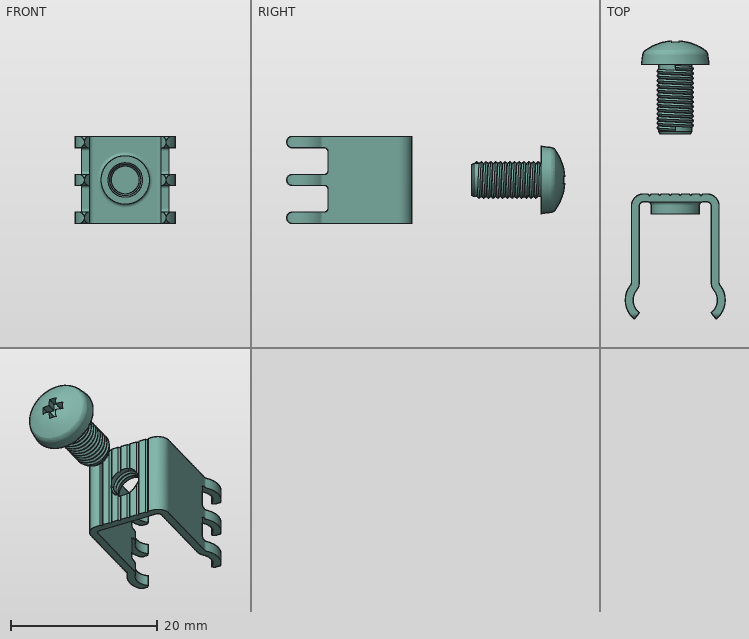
import cadquery as cq
import math

screw_gap = 8.18
thread_pitch = 0.65
thread_base = 0.57
thread_height = 0.23
thread_overlap = 0.05

head_radius = 4.65
head_height = 3.27
dome_start_height = 1.7
dome_start_radius = 4.4
head_fillet = 0.87
cross_length = 3.05
cross_width = 1.0
cross_depth = 1.52
shank_radius = 2.3
shank_length = 9.5
tip_chamfer_radial = 0.2
tip_chamfer_axial = 0.35
screw_thread_turns = 13
screw_thread_start = 0.4

sheet = 1.1
bend_inner = 0.57
bend_outer = bend_inner + sheet
bracket_height = 11.95
bracket_length = 17.1
half_width = 6.0
half_span = 6.85
wall_end = 12.15
hook_inner = 2.15
hook_outer = hook_inner + sheet

slot_root = 11.5
middle_leg_width = 1.52
outer_leg_width = 1.6
slot_fillet = 0.45

groove_count = 6
groove_pitch = 1.4
groove_depth = 0.23

boss_radius = 3.3
boss_depth = 2.78
boss_fillet = 0.5
bore_radius = 2.13
bore_chamfer = 0.23
bore_thread_turns = 2.5


def thread_ridge(root_radius, height, turns, start):
    """Left-hand triangular ridge around Z; a negative height points it inward."""
    overlap = math.copysign(thread_overlap, height)
    base_radius = root_radius - overlap
    base_half = thread_base / 2 * (1 + thread_overlap / abs(height))
    path = cq.Wire.makeHelix(thread_pitch, turns * thread_pitch, root_radius, lefthand=True)
    ridge = (
        cq.Workplane("XZ")
        .moveTo(base_radius, -base_half)
        .lineTo(root_radius + height, 0)
        .lineTo(base_radius, base_half)
        .close()
        .sweep(cq.Workplane(path), isFrenet=True)
    )
    return ridge.translate((0, 0, start))


def cross_recess():
    """Blind cross in the crown of the head."""
    floor = head_height - cross_depth
    arm = cq.Workplane("XY").workplane(offset=floor).rect(cross_length, cross_width).extrude(cross_depth)
    return arm.union(arm.rotate((0, 0, 0), (0, 0, 1), 90))


def make_screw():
    """Built along Z with the underside of the head at Z = 0, then turned to point along -Y."""
    dome_rise = head_height - dome_start_height
    dome_radius = (dome_start_radius**2 + dome_rise**2) / (2 * dome_rise)
    dome_centre = head_height - dome_radius
    half_angle = math.asin(dome_start_radius / dome_radius) / 2
    dome_mid = (dome_radius * math.sin(half_angle), dome_centre + dome_radius * math.cos(half_angle))
    body = (
        cq.Workplane("XZ")
        .moveTo(0, -shank_length)
        .lineTo(shank_radius - tip_chamfer_radial, -shank_length)
        .lineTo(shank_radius, -shank_length + tip_chamfer_axial)
        .lineTo(shank_radius, 0)
        .lineTo(head_radius, 0)
        .lineTo(dome_start_radius, dome_start_height)
        .threePointArc(dome_mid, (0, head_height))
        .close()
        .revolve(360, (0, 0, 0), (0, 1, 0))
    )
    body = body.faces("%CONE").faces(">Z").edges(">Z").fillet(head_fillet)
    thread_length = screw_thread_turns * thread_pitch
    thread_z = -screw_thread_start - thread_length
    thread = thread_ridge(shank_radius, thread_height, screw_thread_turns, thread_z)
    thread = thread.rotate((0, 0, 0), (0, 0, 1), -90)
    screw = body.cut(cross_recess()).union(thread)
    return screw.rotate((0, 0, 0), (1, 0, 0), -90).translate((0, screw_gap + shank_length, 0))


def polar(centre, radius, angle):
    return (centre[0] + radius * math.cos(angle), centre[1] + radius * math.sin(angle))


def make_half_sheet():
    """The +X half of the bent sheet: back plate, side wall and hook."""
    corner = (half_width - bend_outer, -bend_outer)
    flare = (half_width + bend_inner, -wall_end)
    hook_x = half_span - hook_outer
    centre_distance = bend_outer + hook_inner
    flare_angle = math.acos((flare[0] - hook_x) / centre_distance)
    hook = (hook_x, -wall_end - centre_distance * math.sin(flare_angle))
    tip_angle = -math.asin((bracket_length + hook[1]) / hook_outer)

    flare_end = math.pi + flare_angle
    flare_mid = math.pi + flare_angle / 2
    hook_mid = (flare_angle + tip_angle) / 2
    corner_mid = math.pi / 4
    return (
        cq.Workplane("XY")
        .lineTo(corner[0], 0)
        .threePointArc(polar(corner, bend_outer, corner_mid), (half_width, corner[1]))
        .lineTo(half_width, -wall_end)
        .threePointArc(polar(flare, bend_inner, flare_mid), polar(flare, bend_inner, flare_end))
        .threePointArc(polar(hook, hook_outer, hook_mid), polar(hook, hook_outer, tip_angle))
        .lineTo(*polar(hook, hook_inner, tip_angle))
        .threePointArc(polar(hook, hook_inner, hook_mid), polar(hook, hook_inner, flare_angle))
        .threePointArc(polar(flare, bend_outer, flare_mid), (half_width - sheet, -wall_end))
        .lineTo(half_width - sheet, corner[1])
        .threePointArc(polar(corner, bend_inner, corner_mid), (corner[0], -sheet))
        .lineTo(0, -sheet)
        .close()
        .extrude(bracket_height / 2, both=True)
    )


def side_block(y_start, y_end, z_centre, z_size):
    """Block as wide as the bracket, between two depths."""
    return (
        cq.Workplane("YZ")
        .center((y_start + y_end) / 2, z_centre)
        .rect(y_start - y_end, z_size)
        .extrude(half_span, both=True)
    )


def make_leg_outline():
    """Side shape of the bracket: a plain wall ending in three round-tipped legs."""
    outline = side_block(0, -slot_root, 0, bracket_height)
    outer_leg_z = (bracket_height - outer_leg_width) / 2
    legs = [(-outer_leg_z, outer_leg_width), (0, middle_leg_width), (outer_leg_z, outer_leg_width)]
    for z, width in legs:
        tip_y = -bracket_length + width / 2
        tip = cq.Workplane("YZ").center(tip_y, z).circle(width / 2).extrude(half_span, both=True)
        outline = outline.union(side_block(-slot_root, tip_y, z, width)).union(tip)
    margin = 0.05
    root_edges = cq.selectors.BoxSelector(
        (-half_span, -slot_root - margin, -outer_leg_z),
        (half_span, -slot_root + margin, outer_leg_z),
    )
    return outline.edges("|X").edges(root_edges).fillet(slot_fillet)


def make_grooves():
    """V grooves running the full height of the back face."""
    first = -(groove_count - 1) / 2 * groove_pitch
    grooves = cq.Workplane("XY")
    for i in range(groove_count):
        x = first + i * groove_pitch
        grooves = grooves.add(
            cq.Workplane("XY")
            .polyline([(x - groove_depth, 0), (x, -groove_depth), (x + groove_depth, 0)])
            .close()
            .extrude(bracket_height / 2, both=True)
        )
    return grooves.combine()


def along_minus_y(shape):
    """Turn a shape built along +Z so that it points along -Y."""
    return shape.rotate((0, 0, 0), (1, 0, 0), 90)


def make_boss():
    """Round boss on the inner face of the back plate, with a concave fillet at its foot."""
    mid_offset = boss_fillet * (1 - math.sqrt(0.5))
    boss = (
        cq.Workplane("XZ")
        .moveTo(0, groove_depth)
        .lineTo(boss_radius + boss_fillet, groove_depth)
        .lineTo(boss_radius + boss_fillet, sheet)
        .threePointArc(
            (boss_radius + mid_offset, sheet + mid_offset), (boss_radius, sheet + boss_fillet)
        )
        .lineTo(boss_radius, boss_depth)
        .lineTo(0, boss_depth)
        .close()
        .revolve(360, (0, 0, 0), (0, 1, 0))
    )
    return along_minus_y(boss)


def make_bore():
    """Through bore, chamfered at the end of the boss."""
    bore = (
        cq.Workplane("XZ")
        .lineTo(bore_radius, 0)
        .lineTo(bore_radius, boss_depth - bore_chamfer)
        .lineTo(bore_radius + bore_chamfer, boss_depth)
        .lineTo(0, boss_depth)
        .close()
        .revolve(360, (0, 0, 0), (0, 1, 0))
    )
    return along_minus_y(bore)


def make_bore_thread():
    """Inward thread ridge, centred between the back-face grooves and the mouth chamfer."""
    thread_length = bore_thread_turns * thread_pitch
    start = (groove_depth + boss_depth - bore_chamfer - thread_length) / 2
    return along_minus_y(thread_ridge(bore_radius, -thread_height, bore_thread_turns, start))


def make_bracket():
    half = make_half_sheet()
    sheet_body = half.union(half.mirror("YZ")).intersect(make_leg_outline())
    bracket = sheet_body.cut(make_grooves()).union(make_boss())
    return bracket.cut(make_bore()).union(make_bore_thread())


screw = make_screw()
bracket = make_bracket()
result = cq.Compound.makeCompound([screw.solids().val(), bracket.solids().val()])